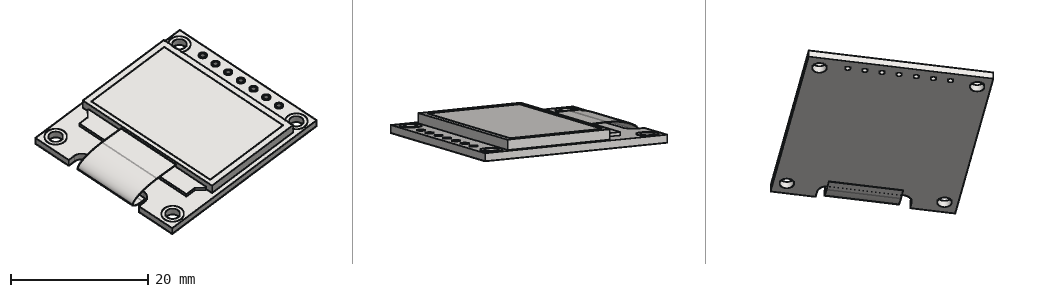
import cadquery as cq

board_width = 27.4
board_length = 30.78
board_thickness = 1.2
front_y = -board_length / 2
back_y = board_length / 2

mount_hole_diameter = 2.12
mount_pad_diameter = 3.3
mount_spacing_x = 23.4
mount_edge_distance = 2.22
mount_spacing_y = board_length - 2 * mount_edge_distance

pin_count = 7
pin_row_length = 15.25
pin_pitch = pin_row_length / (pin_count - 1)
pin_hole_diameter = 0.8
pin_pad_diameter = 1.25
pin_edge_distance = 1.57
pad_height = 0.03

notch_width = 14.0
notch_depth = 2.68
notch_corner_radius = 1.5

display_width = 25.85
display_height = 1.5
display_front_y = front_y + 9.3
display_back_y = back_y - 4.22
window_width = 23.75
window_front_y = display_front_y + 0.75
window_back_y = display_back_y - 1.02
window_depth = 0.03

ledge_rear_width = 23.65
ledge_chamfer = 1.1
ledge_front_width = ledge_rear_width - 2 * ledge_chamfer
ledge_height = 0.5
ledge_front_y = front_y + 6.22
ledge_chamfer_front_y = front_y + 8.0
ledge_chamfer_rear_y = ledge_chamfer_front_y + ledge_chamfer

flex_width = 11.02
flex_left_x = -5.25
flex_thickness = 0.1
flex_root_depth = 0.3
flex_exit_z = 1.02
flex_crest_z = 1.1
flex_bend_z = -0.62
flex_bottom_z = -1.42
flex_upper_reach = 5.23
flex_lower_reach = 2.15
flex_end_y = front_y + 3.82
flex_end_z = -board_thickness - flex_thickness


def box_between(width, y_start, y_end, z_start, z_end):
    """Box centred on X, spanning the given Y and Z ranges."""
    return (
        cq.Workplane("XY", origin=(0, (y_start + y_end) / 2, z_start))
        .rect(width, y_end - y_start)
        .extrude(z_end - z_start)
    )


def discs(centers, diameter, z_start, height):
    return (
        cq.Workplane("XY", origin=(0, 0, z_start))
        .pushPoints(centers)
        .circle(diameter / 2)
        .extrude(height)
    )


def make_notch():
    notch = box_between(
        notch_width, front_y - notch_depth, front_y + notch_depth, -board_thickness, 0
    )
    return notch.edges("|Z and >Y").fillet(notch_corner_radius)


def make_board():
    mount_centers = [
        (side_x * mount_spacing_x / 2, side_y * mount_spacing_y / 2)
        for side_x in (-1, 1)
        for side_y in (-1, 1)
    ]
    pin_centers = [
        (i * pin_pitch - pin_row_length / 2, back_y - pin_edge_distance)
        for i in range(pin_count)
    ]
    board = box_between(board_width, front_y, back_y, -board_thickness, 0).cut(make_notch())
    drill_depth = board_thickness + pad_height
    for centers, pad_diameter, hole_diameter in (
        (mount_centers, mount_pad_diameter, mount_hole_diameter),
        (pin_centers, pin_pad_diameter, pin_hole_diameter),
    ):
        board = board.union(discs(centers, pad_diameter, 0, pad_height))
        board = board.cut(discs(centers, hole_diameter, -board_thickness, drill_depth))
    return board


def make_display():
    display = box_between(display_width, display_front_y, display_back_y, 0, display_height)
    window = box_between(
        window_width,
        window_front_y,
        window_back_y,
        display_height - window_depth,
        display_height,
    )
    return display.cut(window)


def make_ledge():
    right_side = [
        (ledge_front_width / 2, ledge_front_y),
        (ledge_front_width / 2, ledge_chamfer_front_y),
        (ledge_rear_width / 2, ledge_chamfer_rear_y),
        (ledge_rear_width / 2, display_front_y),
    ]
    left_side = [(-x, y) for x, y in reversed(right_side)]
    return cq.Workplane("XY").polyline(right_side + left_side).close().extrude(ledge_height)


def make_flex():
    upper_rise = flex_crest_z - flex_bend_z
    lower_drop = flex_bend_z - flex_bottom_z
    crest_y = front_y + flex_upper_reach
    bottom_y = front_y + flex_lower_reach
    root_y = display_front_y + flex_root_depth
    inner_exit = (display_front_y, flex_exit_z - flex_thickness)
    return (
        cq.Workplane("YZ", origin=(flex_left_x, 0, 0))
        .moveTo(root_y, flex_exit_z)
        .lineTo(display_front_y, flex_exit_z)
        .spline([(crest_y, flex_crest_z)], tangents=[(-1, 0), (-1, 0)], includeCurrent=True)
        .ellipseArc(flex_upper_reach, upper_rise, 90, 180)
        .ellipseArc(flex_lower_reach, lower_drop, 180, 270)
        .lineTo(flex_end_y, flex_end_z)
        .lineTo(flex_end_y, flex_end_z + flex_thickness)
        .lineTo(bottom_y, flex_bottom_z + flex_thickness)
        .ellipseArc(flex_lower_reach - flex_thickness, lower_drop - flex_thickness, 180, 270, sense=-1)
        .ellipseArc(flex_upper_reach - flex_thickness, upper_rise - flex_thickness, 90, 180, sense=-1)
        .spline([inner_exit], tangents=[(1, 0), (1, 0)], includeCurrent=True)
        .lineTo(root_y, flex_exit_z - flex_thickness)
        .close()
        .extrude(flex_width)
    )


result = make_board().union(make_display()).union(make_ledge()).union(make_flex())